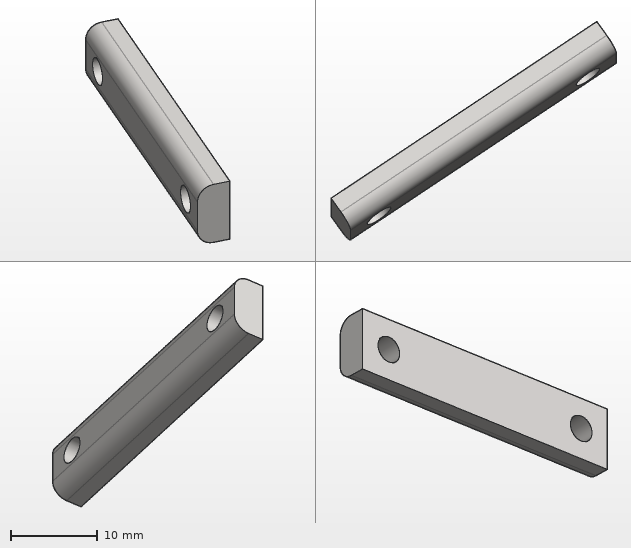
import cadquery as cq

length = 37.5
depth = 4.0
height = 8.0

edge_radius = 2.0

hole_diameter = 3.3
hole_end_distance = 4.0
hole_spacing = length - 2 * hole_end_distance

bar = cq.Workplane("XY").box(length, depth, height)
bar = bar.faces("<Y").edges("|X").fillet(edge_radius)

result = (
    bar.faces("<Y")
    .workplane(centerOption="CenterOfBoundBox")
    .rarray(hole_spacing, 0.38, 2, 1)
    .hole(hole_diameter)
)